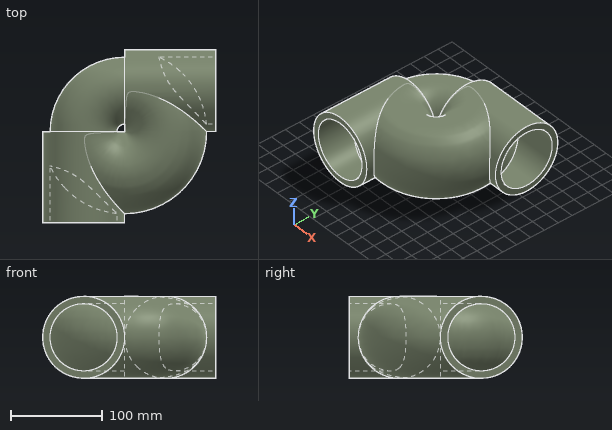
import cadquery as cq

outer_diameter = 90.0
wall_thickness = 8.2
leg_length = 100.0

outer_radius = outer_diameter / 2
bore_radius = outer_radius - wall_thickness
ring_radius = outer_radius
center_clearance = 0.01
thick_ring_radius = ring_radius - center_clearance
quarter_turn = 90.0


def leg(plane_name, center_offset):
    """Straight hollow pipe starting on a plane through the ring axis."""
    section = cq.Workplane(plane_name).center(center_offset, 0)
    return section.circle(outer_radius).circle(bore_radius).extrude(leg_length)


def ring_part(section_radius, start_angle, turn_angle):
    """Solid stretch of ring about the Z axis, counterclockwise from start_angle (0 = +X)."""
    section = cq.Workplane("XZ").center(ring_radius, 0).circle(section_radius)
    stretch = section.revolve(turn_angle, (-ring_radius, 0), (-ring_radius, 1))
    return stretch.rotate((0, 0, 0), (0, 0, 1), start_angle)


front_leg = leg("XZ", -ring_radius)
side_leg = leg("YZ", ring_radius)

slim_quarter = ring_part(bore_radius, quarter_turn, quarter_turn)
thick_ring = ring_part(thick_ring_radius, 2 * quarter_turn, 3 * quarter_turn)

result = thick_ring.union(slim_quarter).union(front_leg).union(side_leg)